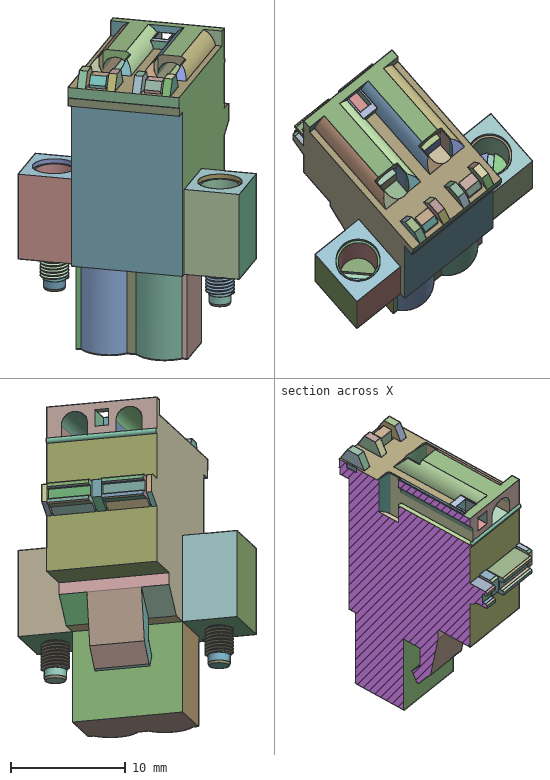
import cadquery as cq

body_width = 10.08
body_depth = 13.74
body_top = 16.94
part_top = 18.33
rear_floor = 3.33
rear_floor_front = 10.13
underside_back = 8.04
slope_top = 2.26
back_wall_thickness = 0.83
back_wall_front = body_depth - back_wall_thickness
lip_reach = 1.11
lower_lip_reach = 1.02
lower_lip_bottom = 15.19
upper_lip_bottom = 15.95

pole_pitch = 5.0
pole_centers = (-pole_pitch / 2, pole_pitch / 2)

cover_radius = 2.03
cover_axis_z = 16.5
cover_step_y = 5.57
cover_step_z = 18.06
cover_slope_top_y = 4.26
cover_front = 3.22

entry_radius = 1.2
entry_front = 3.14
entry_depth = 5.0

socket_width = 1.57
socket_front = 10.65
socket_top = 17.68
socket_wall = 0.17
socket_pit_front = 11.3
socket_pit_depth = 1.5

rib_width = 0.75
rib_offset = 1.34
rib_back = 1.6
rib_top_back = 0.9
rib_top_front = -0.33
peg_width = 1.48
peg_back = 0.75
peg_gap = 0.07
peg_gap_front = -0.25
peg_gap_depth = 0.5
peg_front = -0.65
peg_top_front = -0.19
peg_top = 17.97
peg_front_top = 17.2

bead_reach = 0.19
bead_bottom = 15.0
bead_top = 15.5
ledge_back = 15.2
ledge_top = 10.93
ledge_bevel_bottom = 9.26
ledge_bottom = 8.37
ledge_bevel_depth = 0.28
ledge_bevel_height = 0.1
key_width = 3.83
key_back = 15.7
key_height = 0.5
key_top = ledge_top - ledge_bevel_height
key_bottoms = (8.89, key_top - key_height)
key_slit_width = 0.15
key_bevel_depth = 0.2
key_bevel_height = 0.1

latch_width = 5.0
latch_points = (
    (rear_floor_front, slope_top),
    (9.28, -2.41),
    (7.94, -4.13),
    (7.7, -4.25),
    (7.11, -3.17),
    (8.0, -2.06),
    (underside_back, 0),
)

plug_bottom = -8.26
plug_back = 6.24
plug_front = 0.57
plug_flat_front = 1.52
bulge_half_width = 2.08
plug_edge_bevel = 0.13

flange_end = 10.02
flange_top = 7.87
screw_x = 7.5
screw_y = (plug_back + plug_front) / 2
bore_radius = 1.72
bore_depth = 5.5
bore_rim_radius = 1.93
bore_rim_depth = 0.4
head_radius = 1.6
head_height = 1.0
head_slot_width = 0.56
head_slot_depth = 0.5
head_slot_angle = 45

thread_radius = 1.25
thread_root_radius = 1.02
thread_pitch = 0.3
thread_base = 0.26
thread_crest = 0.05
thread_sink = 0.05
thread_end = -2.5
tip_radius = 0.98
tip_end = -3.43
tip_bevel_depth = 0.1
tip_bevel_height = 0.22


def side_prism(points, width, center_x=0.0):
    """Extrude a (Y, Z) outline along X, centred on center_x."""
    outline = cq.Workplane("YZ", origin=(center_x - width / 2, 0, 0))
    return outline.polyline(points).close().extrude(width)


def block(x_range, y_range, z_range):
    """Box between the given limits."""
    sizes = [high - low for low, high in (x_range, y_range, z_range)]
    corner = (x_range[0], y_range[0], z_range[0])
    return cq.Workplane("XY").box(*sizes, centered=False).translate(corner)


def centered_block(center_x, width, y_range, z_range):
    """Box centred on center_x."""
    return block((center_x - width / 2, center_x + width / 2), y_range, z_range)


def make_housing():
    outline = [
        (0, 0),
        (underside_back, 0),
        (rear_floor_front, slope_top),
        (rear_floor_front, rear_floor),
        (body_depth, rear_floor),
        (body_depth, part_top),
        (back_wall_front, part_top),
        (back_wall_front, body_top),
        (-lip_reach, body_top),
        (-lip_reach, upper_lip_bottom),
        (-lower_lip_reach, upper_lip_bottom),
        (-lower_lip_reach, lower_lip_bottom),
        (0, lower_lip_bottom),
    ]
    return side_prism(outline, body_width)


def make_cover(center_x):
    barrel = (
        cq.Workplane("XZ", origin=(center_x, cover_front, cover_axis_z))
        .circle(cover_radius)
        .extrude(cover_front - back_wall_front)
    )
    envelope = [
        (cover_front, body_top),
        (cover_slope_top_y, cover_step_z),
        (cover_step_y, cover_step_z),
        (cover_step_y, part_top),
        (back_wall_front, part_top),
        (back_wall_front, body_top),
    ]
    return barrel.intersect(side_prism(envelope, 2 * cover_radius, center_x))


def make_wire_entry(center_x):
    arc_y = entry_front + entry_radius
    return (
        cq.Workplane("XY", origin=(center_x, 0, part_top - entry_depth))
        .moveTo(-entry_radius, cover_step_y)
        .lineTo(-entry_radius, arc_y)
        .threePointArc((0, entry_front), (entry_radius, arc_y))
        .lineTo(entry_radius, cover_step_y)
        .close()
        .extrude(entry_depth)
    )


def make_wire_passage(center_x):
    """Arched passage along the cover axis, from the wire entry out through the back."""
    start = cq.Workplane("XZ", origin=(center_x, cover_step_y, cover_axis_z))
    return (
        start.moveTo(-entry_radius, -entry_radius)
        .lineTo(-entry_radius, 0)
        .threePointArc((0, entry_radius), (entry_radius, 0))
        .lineTo(entry_radius, -entry_radius)
        .close()
        .extrude(cover_step_y - body_depth)
    )


def make_socket():
    return centered_block(0, socket_width, (socket_front, back_wall_front), (body_top, socket_top))


def make_socket_pit():
    """Pit in the socket, open through the back wall."""
    return centered_block(
        0,
        socket_width - 2 * socket_wall,
        (socket_pit_front, body_depth),
        (socket_top - socket_pit_depth, socket_top),
    )


def make_rib(center_x):
    outline = [
        (rib_back, body_top),
        (rib_top_back, part_top),
        (rib_top_front, part_top),
        (-lip_reach, body_top),
    ]
    return side_prism(outline, rib_width, center_x)


def make_peg(center_x):
    outline = [
        (peg_back, body_top),
        (peg_back, peg_top),
        (peg_top_front, peg_top),
        (peg_front, peg_front_top),
        (peg_front, body_top),
    ]
    return side_prism(outline, peg_width, center_x)


def make_peg_gap(center_x):
    """Narrow gap in the housing top along the back and the sides of a peg."""
    z_range = (body_top - peg_gap_depth, body_top)
    gap_width = peg_width + 2 * peg_gap
    gap = centered_block(center_x, gap_width, (peg_gap_front, peg_back + peg_gap), z_range)
    core = centered_block(center_x, peg_width, (peg_gap_front, peg_back), z_range)
    return gap.cut(core)


def make_bead():
    return (
        cq.Workplane("YZ", origin=(-body_width / 2, 0, 0))
        .moveTo(body_depth, bead_bottom)
        .threePointArc(
            (body_depth + bead_reach, (bead_bottom + bead_top) / 2),
            (body_depth, bead_top),
        )
        .close()
        .extrude(body_width)
    )


def make_key_bar(center_x, bottom):
    top = bottom + key_height
    outline = [
        (body_depth, bottom),
        (key_back - key_bevel_depth, bottom),
        (key_back, bottom + key_bevel_height),
        (key_back, top - key_bevel_height),
        (key_back - key_bevel_depth, top),
        (body_depth, top),
    ]
    return side_prism(outline, key_width, center_x)


def make_ledge():
    """Ledge on the back; at each pole it is lowered between two slits and carries two key bars."""
    outline = [
        (body_depth, ledge_bottom),
        (ledge_back, ledge_bevel_bottom),
        (ledge_back, ledge_top - ledge_bevel_height),
        (ledge_back - ledge_bevel_depth, ledge_top),
        (body_depth, ledge_top),
    ]
    ledge = side_prism(outline, body_width)
    y_range = (body_depth, ledge_back)
    for center_x in pole_centers:
        for side in (-1, 1):
            slit_x = center_x + side * (key_width + key_slit_width) / 2
            ledge = ledge.cut(centered_block(slit_x, key_slit_width, y_range, (ledge_bottom, ledge_top)))
        ledge = ledge.cut(centered_block(center_x, key_width, y_range, (key_top, ledge_top)))
        for bottom in key_bottoms:
            ledge = ledge.union(make_key_bar(center_x, bottom))
    return ledge


def make_plug():
    """Plug block with one shallow round bulge per pole; the lower front edges are bevelled."""
    plug = block(
        (-body_width / 2, body_width / 2),
        (plug_flat_front, plug_back),
        (plug_bottom, 0),
    )
    plug = plug.edges("<Y and <Z").chamfer(plug_edge_bevel)
    bulge_height = plug_flat_front - plug_front
    bulge_radius = (bulge_half_width**2 + bulge_height**2) / (2 * bulge_height)
    for center_x in pole_centers:
        bulge = (
            cq.Workplane("XY", origin=(center_x, plug_front + bulge_radius, plug_bottom))
            .circle(bulge_radius)
            .extrude(-plug_bottom)
            .faces("<Z")
            .chamfer(plug_edge_bevel)
        )
        front_part = centered_block(
            center_x,
            2 * bulge_half_width,
            (plug_front - plug_edge_bevel, plug_flat_front + plug_edge_bevel),
            (plug_bottom, 0),
        )
        plug = plug.union(bulge.intersect(front_part))
    return plug


def make_screw_end():
    """Threaded screw end below the flange with a smooth bevelled tip."""
    core = (
        cq.Workplane("XZ")
        .lineTo(thread_root_radius, 0)
        .lineTo(thread_root_radius, thread_end)
        .lineTo(tip_radius, thread_end)
        .lineTo(tip_radius, tip_end + tip_bevel_height)
        .lineTo(tip_radius - tip_bevel_depth, tip_end)
        .lineTo(0, tip_end)
        .close()
        .revolve(360, (0, 0, 0), (0, 1, 0))
    )
    start = thread_end + thread_base / 2
    helix = cq.Wire.makeHelix(thread_pitch, -start, thread_root_radius, cq.Vector(0, 0, start))
    ridge = (
        cq.Workplane("XZ", origin=(0, 0, start))
        .moveTo(thread_root_radius - thread_sink, -thread_base / 2)
        .lineTo(thread_root_radius, -thread_base / 2)
        .lineTo(thread_radius, -thread_crest / 2)
        .lineTo(thread_radius, thread_crest / 2)
        .lineTo(thread_root_radius, thread_base / 2)
        .lineTo(thread_root_radius - thread_sink, thread_base / 2)
        .close()
        .sweep(cq.Workplane(helix), isFrenet=True)
    )
    return core.union(ridge)


def make_flange(side):
    """Flange block with a sunk slotted screw; side is -1 for the -X end and 1 for the +X end."""
    x_range = sorted((side * body_width / 2, side * flange_end))
    flange = block(x_range, (plug_front, plug_back), (0, flange_top))
    center_x = side * screw_x

    def disc(radius, bottom, height):
        return cq.Workplane("XY").circle(radius).extrude(height).translate((center_x, screw_y, bottom))

    bore_floor = flange_top - bore_depth
    flange = flange.cut(disc(bore_radius, bore_floor, bore_depth))
    flange = flange.cut(disc(bore_rim_radius, flange_top - bore_rim_depth, bore_rim_depth))

    slot = (
        cq.Workplane("XY")
        .box(2 * head_radius, head_slot_width, head_slot_depth, centered=(True, True, False))
        .rotate((0, 0, 0), (0, 0, 1), side * head_slot_angle)
        .translate((center_x, screw_y, bore_floor + head_height - head_slot_depth))
    )
    head = disc(head_radius, bore_floor, head_height).cut(slot)
    return flange.union(head).union(make_screw_end().translate((center_x, screw_y, 0)))


result = make_housing().union(make_plug()).union(make_bead()).union(make_ledge())
result = result.union(side_prism(latch_points, latch_width))
for pole_x in pole_centers:
    result = result.union(make_cover(pole_x)).union(make_peg(pole_x))
    for rib_side in (-1, 1):
        result = result.union(make_rib(pole_x + rib_side * rib_offset))
result = result.union(make_socket())
result = result.cut(make_socket_pit())
for pole_x in pole_centers:
    result = result.cut(make_wire_entry(pole_x))
    result = result.cut(make_wire_passage(pole_x))
    result = result.cut(make_peg_gap(pole_x))
for flange_side in (-1, 1):
    result = result.union(make_flange(flange_side))